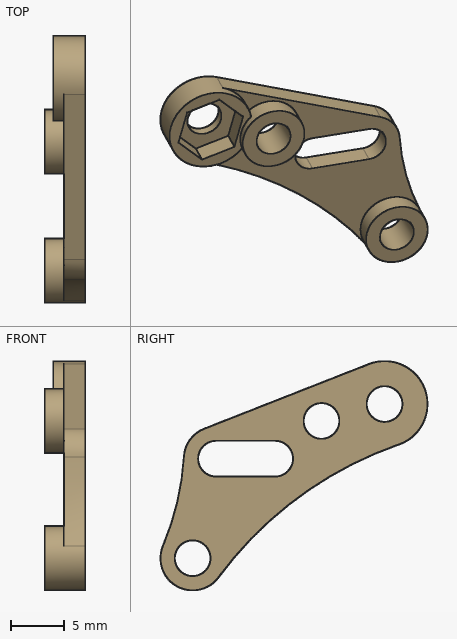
import cadquery as cq
import math


plate_thickness = 2.0
nut_boss_height = 3.0
round_boss_height = 3.8

hole_diameter = 3.3
round_boss_radius = 3.0
nut_boss_radius = 4.0
corner_radius = 3.0

nut_across_corners = 6.5
nut_pocket_depth = 2.0

pivot_centre = (0.0, 0.0)
nut_centre = (17.84, 14.33)
middle_hole_spacing = 6.07
middle_hole_tilt = 15.0
middle_centre = (
    nut_centre[0] - middle_hole_spacing * math.cos(math.radians(middle_hole_tilt)),
    nut_centre[1] - middle_hole_spacing * math.sin(math.radians(middle_hole_tilt)),
)
slot_end_centre = (2.17, 9.25)
slot_travel = 5.5
slot_centre = (slot_end_centre[0] + slot_travel / 2, slot_end_centre[1])

hexagon_sides = 6
nut_tilt = middle_hole_tilt + 180 / hexagon_sides

long_edge_radius = 35.0
short_edge_radius = 25.0


def direction(start, end):
    """Angle of the line from start to end, in radians."""
    return math.atan2(end[1] - start[1], end[0] - start[0])


def polar(centre, radius, angle):
    """Point at the given radius and angle from a centre."""
    return (centre[0] + radius * math.cos(angle), centre[1] + radius * math.sin(angle))


def hollow_edge(first, first_radius, second, second_radius, edge_radius):
    """Start, middle and end of an arc touching two circles from outside.

    The arc lies to the left of the line from the first to the second centre.
    """
    spacing = math.dist(first, second)
    first_reach = first_radius + edge_radius
    second_reach = second_radius + edge_radius
    cosine = (first_reach**2 + spacing**2 - second_reach**2) / (2 * first_reach * spacing)
    edge_centre = polar(first, first_reach, direction(first, second) + math.acos(cosine))
    start = polar(first, first_radius, direction(first, edge_centre))
    end = polar(second, second_radius, direction(second, edge_centre))
    chord_middle = ((start[0] + end[0]) / 2, (start[1] + end[1]) / 2)
    middle = polar(edge_centre, edge_radius, direction(edge_centre, chord_middle))
    return start, middle, end


def straight_edge(first, first_radius, second, second_radius):
    """Ends of the line touching two circles, on the left going from first to second."""
    lean = math.acos((first_radius - second_radius) / math.dist(first, second))
    angle = direction(first, second) + lean
    return polar(first, first_radius, angle), polar(second, second_radius, angle)


def make_plate():
    """Three-cornered plate, cut straight at two corners where the bosses round it off."""
    long_start, long_middle, long_end = hollow_edge(
        nut_centre, nut_boss_radius, pivot_centre, round_boss_radius, long_edge_radius
    )
    short_start, short_middle, short_end = hollow_edge(
        pivot_centre, round_boss_radius, slot_end_centre, corner_radius, short_edge_radius
    )
    straight_start, straight_end = straight_edge(
        slot_end_centre, corner_radius, nut_centre, nut_boss_radius
    )
    return (
        cq.Workplane("YZ")
        .moveTo(*long_start)
        .threePointArc(long_middle, long_end)
        .lineTo(*short_start)
        .threePointArc(short_middle, short_end)
        .tangentArcPoint(straight_start, relative=False)
        .lineTo(*straight_end)
        .close()
        .extrude(-plate_thickness)
    )


def make_boss(centre, radius, height):
    """Round boss rising from the flat back towards -X."""
    return cq.Workplane("YZ").center(*centre).circle(radius).extrude(-height)


def make_hole(centre):
    """Cutter for a round hole through the tallest boss."""
    return make_boss(centre, hole_diameter / 2, round_boss_height)


def make_slot():
    """Cutter for the slot along Y, as wide as the holes."""
    return (
        cq.Workplane("YZ")
        .center(*slot_centre)
        .slot2D(slot_travel + hole_diameter, hole_diameter)
        .extrude(-plate_thickness)
    )


def make_nut_pocket():
    """Cutter for the hexagonal pocket sunk into the nut boss."""
    return (
        cq.Workplane("YZ", origin=(-nut_boss_height, 0, 0))
        .center(*nut_centre)
        .transformed(rotate=(0, 0, nut_tilt))
        .polygon(hexagon_sides, nut_across_corners)
        .extrude(nut_pocket_depth)
    )


body = make_plate().union(make_boss(nut_centre, nut_boss_radius, nut_boss_height))
for centre in (pivot_centre, middle_centre):
    body = body.union(make_boss(centre, round_boss_radius, round_boss_height))

for centre in (pivot_centre, middle_centre, nut_centre):
    body = body.cut(make_hole(centre))

result = body.cut(make_slot()).cut(make_nut_pocket())